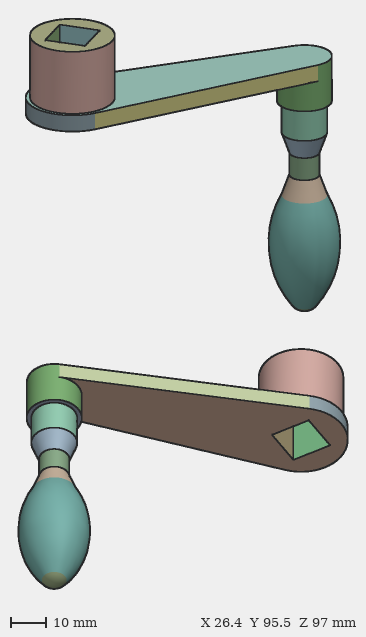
import cadquery as cq
import math

arm_length = 72.1
arm_thickness = 5.0
hub_end_radius = 13.2
boss_radius = 15.6 / 2

hub_diameter = 24.0
hub_height = 19.0
square_side = 12.0
square_angle = 45.0

boss_drop = 8.8
collar_radius = 13.0 / 2
collar_length = 9.6
neck_radius = 8.6 / 2
neck_length = 6.8
cone_length = 6.2
grip_radius = 10.2
grip_shoulder = 14.6
grip_nose = 20.8


def make_arm():
    """Plate bounded by two end arcs and their common tangent lines."""
    tangent_sin = (hub_end_radius - boss_radius) / arm_length
    tangent_cos = math.sqrt(1 - tangent_sin**2)
    hub_x = hub_end_radius * tangent_cos
    hub_y = hub_end_radius * tangent_sin
    boss_x = boss_radius * tangent_cos
    boss_y = arm_length + boss_radius * tangent_sin
    return (
        cq.Workplane("XY")
        .moveTo(hub_x, hub_y)
        .lineTo(boss_x, boss_y)
        .threePointArc((0, arm_length + boss_radius), (-boss_x, boss_y))
        .lineTo(-hub_x, hub_y)
        .threePointArc((0, -hub_end_radius), (hub_x, hub_y))
        .close()
        .extrude(arm_thickness)
    )


def make_hub():
    """Round hub standing on the arm."""
    return cq.Workplane("XY").circle(hub_diameter / 2).extrude(arm_thickness + hub_height)


def make_square_hole():
    """Square prism passing through the hub and the arm."""
    return (
        cq.Workplane("XY")
        .rect(square_side, square_side)
        .extrude(arm_thickness + hub_height)
        .rotate((0, 0, 0), (0, 0, 1), square_angle)
    )


def make_handle():
    """Boss, collar, waisted neck and bulbous grip, revolved about the handle axis."""
    boss_end = -boss_drop
    collar_end = boss_end - collar_length
    neck_start = collar_end - cone_length
    neck_end = neck_start - neck_length
    grip_start = neck_end - cone_length
    grip_middle = grip_start - grip_shoulder
    tip = grip_middle - grip_nose

    bulge = grip_radius - collar_radius
    side_radius = (grip_shoulder**2 + bulge**2) / (2 * bulge)
    side_center = grip_radius - side_radius

    tip_radius = (side_radius**2 - side_center**2 - grip_nose**2) / (2 * (side_radius - grip_nose))
    tip_center = tip + tip_radius
    tangent_angle = math.atan2(grip_middle - tip_center, -side_center)
    tip_join = (tip_radius * math.cos(tangent_angle), tip_center - tip_radius * math.sin(tangent_angle))
    mid_angle = (tangent_angle + math.pi / 2) / 2
    tip_mid = (tip_radius * math.cos(mid_angle), tip_center - tip_radius * math.sin(mid_angle))

    return (
        cq.Workplane("XZ")
        .moveTo(0, arm_thickness)
        .lineTo(boss_radius, arm_thickness)
        .lineTo(boss_radius, boss_end)
        .lineTo(collar_radius, boss_end)
        .lineTo(collar_radius, collar_end)
        .lineTo(neck_radius, neck_start)
        .lineTo(neck_radius, neck_end)
        .lineTo(collar_radius, grip_start)
        .threePointArc((grip_radius, grip_middle), tip_join)
        .threePointArc(tip_mid, (0, tip))
        .close()
        .revolve(360, (0, 0, 0), (0, 1, 0))
        .translate((0, arm_length, 0))
    )


result = make_arm().union(make_hub()).union(make_handle()).cut(make_square_hole())